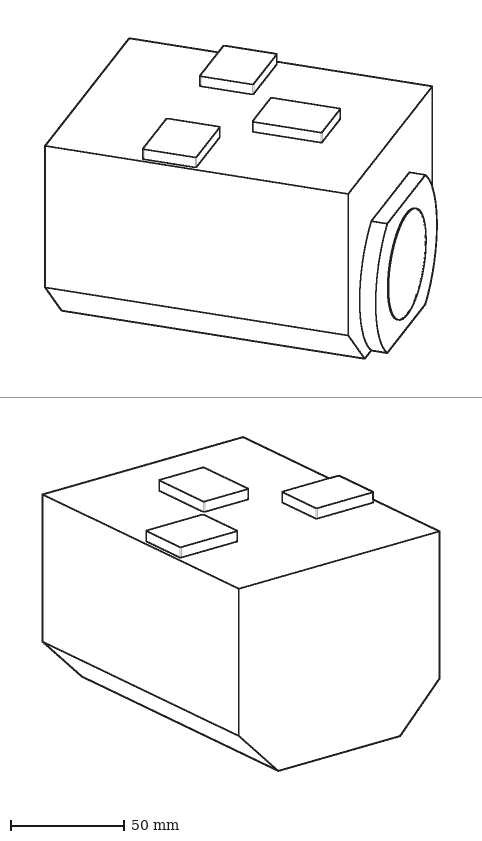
import cadquery as cq

total_length = 150.0
body_width = 112.0
total_height = 97.0

pad_height = 5.0
pad_width = 25.0
side_pad_length = 32.0
middle_pad_length = 32.5
pad_corner_radius = 0.5
side_pad_start = 45.0
side_pad_inset = 2.1
middle_pad_start = 81.8

flange_diameter = 81.8
flange_thickness = 7.5
face_diameter = 50.0
face_height = 0.5
flange_flat_distance = 64.0

bottom_chamfer = 22.0
body_length = total_length - flange_thickness - face_height
body_height = total_height - pad_height
flange_center_z = flange_flat_distance / 2


def make_body():
    """Block with its two long bottom edges chamfered; its bottom lies on Z = 0."""
    block = cq.Workplane("XY").box(body_length, body_width, body_height, centered=(False, True, False))
    return block.edges("|X and <Z").chamfer(bottom_chamfer)


def make_flange():
    """Flange on the +X end, level with the bottom of the body."""
    end_plane = cq.Workplane("YZ", origin=(body_length, 0, flange_center_z))
    disc = end_plane.circle(flange_diameter / 2).extrude(flange_thickness)
    flats = end_plane.rect(flange_diameter, flange_flat_distance).extrude(flange_thickness)
    face = end_plane.circle(face_diameter / 2).extrude(flange_thickness + face_height)
    return disc.intersect(flats).union(face)


def make_pad(start_x, center_y, size_x, size_y):
    """Pad on top of the body with rounded upright corners."""
    return (
        cq.Workplane("XY", origin=(start_x + size_x / 2, center_y, body_height))
        .rect(size_x, size_y)
        .extrude(pad_height)
        .edges("|Z")
        .fillet(pad_corner_radius)
    )


result = make_body().union(make_flange())

side_pad_y = body_width / 2 - side_pad_inset - side_pad_length / 2
for center_y in (-side_pad_y, side_pad_y):
    result = result.union(make_pad(side_pad_start, center_y, pad_width, side_pad_length))

result = result.union(make_pad(middle_pad_start, 0, middle_pad_length, pad_width))